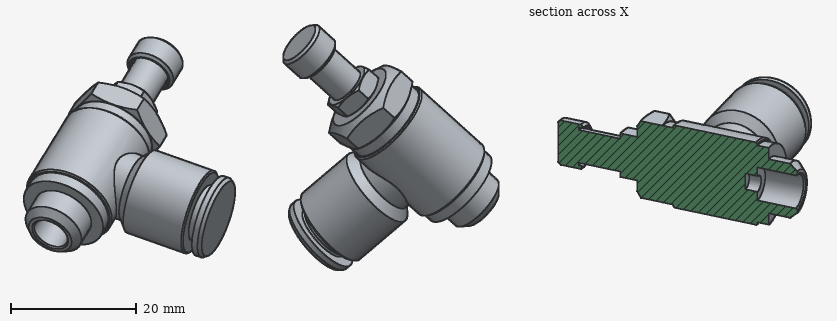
import cadquery as cq
import math


collar_start = 5.0
body_start = 6.97
body_end = 21.8
nut_start = 23.6
nut_end = 28.15
locknut_end = 31.1
knob_start = 37.45
knob_end = 42.0

spigot_radius = 4.95
spigot_chamfer_length = 1.25
spigot_tip_radius = 3.8
collar_radius = 7.0
body_radius = 7.5
edge_chamfer = 0.25
stem_radius = 3.02
knob_radius = 4.07
knob_chamfer = 0.45
knob_recess_radius = 3.4
knob_recess_depth = 0.85

nut_across_flats = 14.0
locknut_across_flats = 8.0
nut_chamfer_angle = 30
nut_top_radius = 5.9
nut_bottom_radius = 6.95
locknut_face_radius = 3.95

bore_radius = 2.95
bore_depth = body_start
bore_chamfer = 0.25
pilot_radius = 1.4
pilot_depth = 2.1

branch_y = (body_start + body_end) / 2
neck_radius = 5.45
neck_end = 8.0
socket_radius = 7.0
socket_start = 9.45
socket_end = 19.9
sleeve_radius = 4.65
sleeve_flare_start = 21.1
sleeve_flare_radius = 4.85
flange_radius = 6.75
flange_start = 21.45
flange_end = 23.0
flange_chamfer_length = 0.6
flange_chamfer_depth = 0.4


def revolve_y(profile):
    """Revolve (radius, y) points about the main axis."""
    return cq.Workplane("XY").polyline(profile).close().revolve(360, (0, 0), (0, 1))


def main_body():
    return revolve_y([
        (0, 0),
        (spigot_tip_radius, 0),
        (spigot_radius, spigot_chamfer_length),
        (spigot_radius, collar_start),
        (collar_radius, collar_start),
        (collar_radius, body_start),
        (body_radius - edge_chamfer, body_start),
        (body_radius, body_start + edge_chamfer),
        (body_radius, body_end - edge_chamfer),
        (body_radius - edge_chamfer, body_end),
        (collar_radius, body_end),
        (collar_radius, nut_start),
        (stem_radius, nut_start),
        (stem_radius, knob_start + knob_recess_depth),
        (knob_recess_radius, knob_start + knob_recess_depth),
        (knob_recess_radius, knob_start),
        (knob_radius - knob_chamfer, knob_start),
        (knob_radius, knob_start + knob_chamfer),
        (knob_radius, knob_end - knob_chamfer),
        (knob_radius - knob_chamfer, knob_end),
        (0, knob_end),
    ])


def hex_nut(start, end, across_flats, start_radius, end_radius):
    """Hexagonal prism along Y whose corners are trimmed by a cone at each end."""
    corner_radius = across_flats / math.sqrt(3)
    slope = math.tan(math.radians(nut_chamfer_angle))
    prism = (
        cq.Workplane("XZ", origin=(0, start, 0))
        .polygon(6, 2 * corner_radius)
        .extrude(start - end)
    )
    envelope = revolve_y([
        (0, start),
        (start_radius, start),
        (corner_radius, start + slope * (corner_radius - start_radius)),
        (corner_radius, end - slope * (corner_radius - end_radius)),
        (end_radius, end),
        (0, end),
    ])
    return prism.intersect(envelope)


def branch():
    """Neck, socket, sleeve and release flange, revolved about the branch axis."""
    profile = [
        (0, 0),
        (0, neck_radius),
        (neck_end, neck_radius),
        (socket_start, socket_radius),
        (socket_end - edge_chamfer, socket_radius),
        (socket_end, socket_radius - edge_chamfer),
        (socket_end, sleeve_radius),
        (sleeve_flare_start, sleeve_radius),
        (flange_start, sleeve_flare_radius),
        (flange_start, flange_radius),
        (flange_end - flange_chamfer_length, flange_radius),
        (flange_end, flange_radius - flange_chamfer_depth),
        (flange_end, 0),
    ]
    return (
        cq.Workplane("XY", origin=(0, branch_y, 0))
        .polyline(profile)
        .close()
        .revolve(360, (0, 0), (1, 0))
    )


def spigot_bore():
    return revolve_y([
        (0, 0),
        (bore_radius + bore_chamfer, 0),
        (bore_radius, bore_chamfer),
        (bore_radius, bore_depth),
        (pilot_radius, bore_depth),
        (pilot_radius, bore_depth + pilot_depth),
        (0, bore_depth + pilot_depth),
    ])


nut = hex_nut(nut_start, nut_end, nut_across_flats, nut_bottom_radius, nut_top_radius)
locknut = hex_nut(nut_end, locknut_end, locknut_across_flats, locknut_face_radius, locknut_face_radius)

result = main_body().union(nut).union(locknut).union(branch()).cut(spigot_bore())